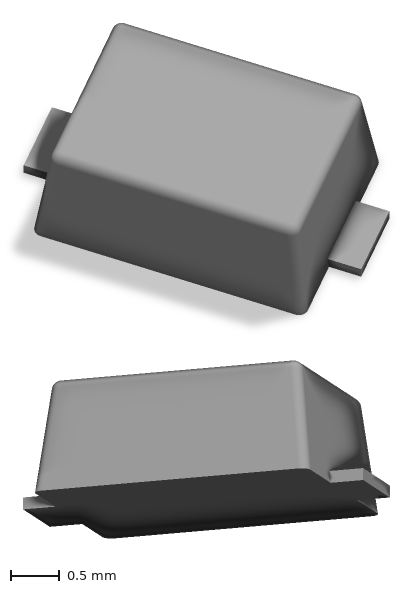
import cadquery as cq
import math

overall_length = 3.7
body_length = 2.995
body_width = 2.19
body_height = 1.2

draft_angle = 6.9
edge_radius = 0.1

lead_width = 0.8
lead_thickness = 0.125

wall_lean_at_lead_top = lead_thickness * math.tan(math.radians(draft_angle))


def make_body():
    """Drafted block with rounded corner edges and top rim; the base edges stay sharp."""
    block = (
        cq.Workplane("XY")
        .rect(body_length, body_width)
        .extrude(body_height, taper=draft_angle)
    )
    return block.edges("not <Z").fillet(edge_radius)


def make_lead(side):
    """Flat lead lying on the base plane; side is +1 for the +X end, -1 for the -X end."""
    outer_x = side * overall_length / 2
    wall_x_base = side * body_length / 2
    wall_x_top = wall_x_base - side * wall_lean_at_lead_top
    profile = (
        cq.Workplane("XZ")
        .moveTo(wall_x_base, 0)
        .lineTo(outer_x, 0)
        .lineTo(outer_x, lead_thickness)
        .lineTo(wall_x_top, lead_thickness)
        .close()
    )
    return profile.extrude(lead_width / 2, both=True)


body = make_body()
leads = [make_lead(side) for side in (-1, 1)]

result = cq.Compound.makeCompound([body.val(), *[lead.val() for lead in leads]])